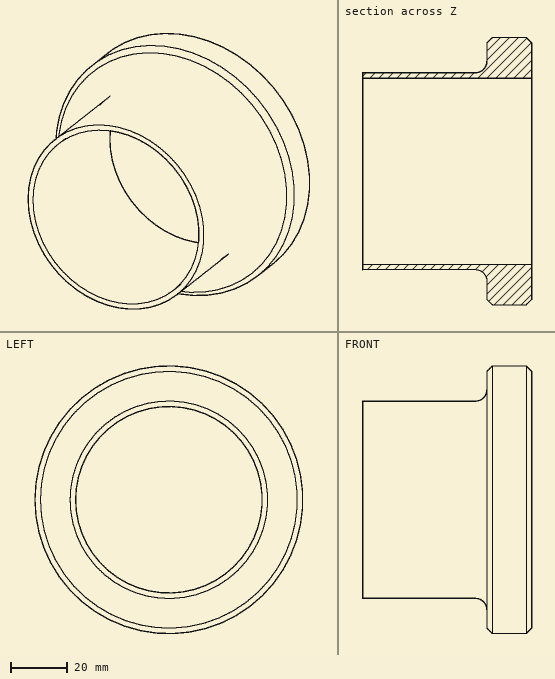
import cadquery as cq

total_length = 60.0
bore_diameter = 66.0
tube_diameter = 70.0
flange_diameter = 95.0
flange_thickness = 16.0

flange_chamfer = 2.0
neck_fillet = 4.0

tube_length = total_length - flange_thickness


def cylinder_along_x(start_x, length, diameter):
    """Solid cylinder on the X axis, starting at start_x."""
    return cq.Workplane("YZ", origin=(start_x, 0, 0)).circle(diameter / 2).extrude(length)


def make_flange():
    """Disc at the +X end with both rims chamfered."""
    disc = cylinder_along_x(tube_length, flange_thickness, flange_diameter)
    return disc.edges("%CIRCLE").chamfer(flange_chamfer)


def fillet_neck(body):
    """Round the inside corner where the tube meets the flange face."""
    half_width = tube_diameter / 2 + neck_fillet / 2
    corner_box = cq.selectors.BoxSelector(
        (tube_length - neck_fillet / 2, -half_width, -half_width),
        (tube_length + neck_fillet / 2, half_width, half_width),
        boundingbox=True,
    )
    return body.edges("%CIRCLE").edges(corner_box).fillet(neck_fillet)


tube = cylinder_along_x(0, total_length, tube_diameter)
bore = cylinder_along_x(0, total_length, bore_diameter)

result = fillet_neck(tube.union(make_flange())).cut(bore)